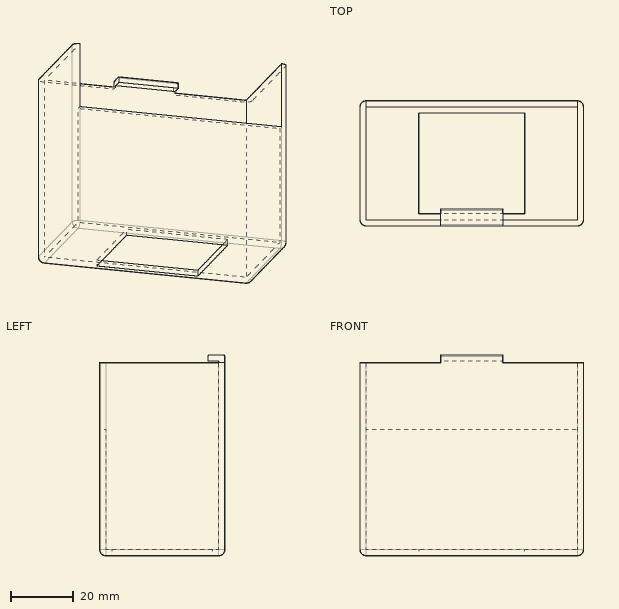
import cadquery as cq

length = 71.8
depth = 40.25
wall_height = 62.0
wall = 2.0
outer_radius = wall
back_wall_height = 40.6

inner_length = length - 2 * wall
inner_depth = depth - 2 * wall

window_length = 34.0
window_margin = 2.0
window_depth = inner_depth - 2 * window_margin

latch_length = 20.0
latch_reach = 5.5
latch_gap = 0.5
latch_thickness = 2.0
latch_radius = 0.5

front_y = -depth / 2
latch_top = wall_height + latch_gap + latch_thickness


def make_shell():
    """Rounded outer block with a sharp-cornered cavity."""
    block = cq.Workplane("XY").box(length, depth, wall_height, centered=(True, True, False))
    block = block.edges("|Z or <Z").fillet(outer_radius)
    cavity = (
        cq.Workplane("XY")
        .workplane(offset=wall)
        .box(inner_length, inner_depth, wall_height, centered=(True, True, False))
    )
    return block.cut(cavity)


def make_back_opening():
    """Removes the upper part of the back wall between the end walls."""
    return (
        cq.Workplane("XY")
        .workplane(offset=back_wall_height)
        .center(0, depth / 2)
        .box(inner_length, 2 * wall, wall_height, centered=(True, True, False))
    )


def make_floor_window():
    return cq.Workplane("XY").box(window_length, window_depth, 2 * wall)


def make_latch():
    """Inward-facing hook, rooted in the full thickness of the front wall."""
    root_z = wall_height - wall
    stem = (
        cq.Workplane("XY")
        .box(latch_length, wall, latch_top - root_z, centered=(True, False, False))
        .translate((0, front_y, root_z))
    )
    hook = (
        cq.Workplane("XY")
        .box(latch_length, latch_reach, latch_thickness, centered=(True, False, False))
        .translate((0, front_y, wall_height + latch_gap))
    )
    latch = stem.union(hook).clean()
    return latch.faces(">Z").edges("|X").fillet(latch_radius)


result = make_shell().cut(make_back_opening()).cut(make_floor_window()).union(make_latch())